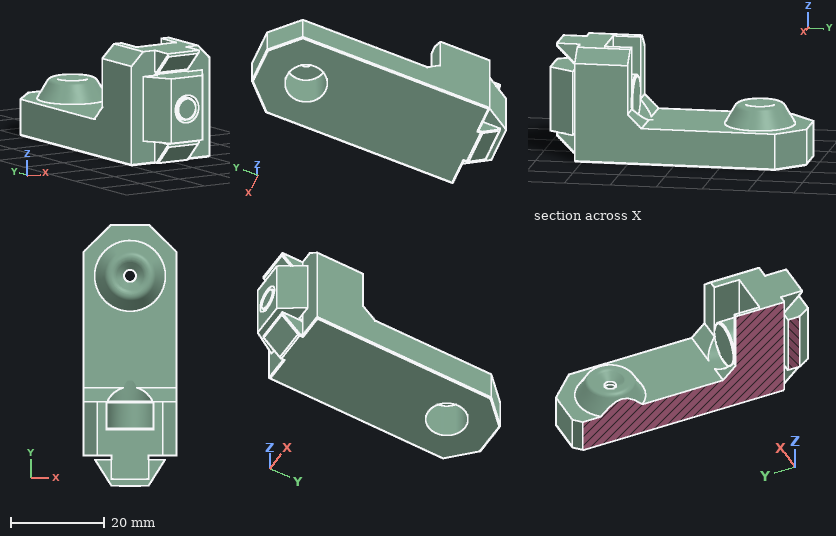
import cadquery as cq
import math


BRACKET_WIDTH = 20.0
BRACKET_HEIGHT = 24.5
BRACKET_LENGTH = 49.35
ARM_HEIGHT = 7.9
WALL_THICKNESS = 11.5
GUSSET = 3.0
ARM_CORNER_X = 5.85
ARM_CORNER_Y = 5.8
WALL_CORNER_X = 3.0
WALL_CORNER_Z = 2.9

KEY_WIDTH = 8.0
KEY_LENGTH = 5.0
KEY_HEIGHT = 4.85
KEY_ROOT = 0.85
KEY_TIP = KEY_HEIGHT - (KEY_LENGTH - KEY_ROOT)
EDGE_BREAK = 0.25

NOSE_Y = BRACKET_LENGTH - 10.9
NOSE_HEIGHT = 4.45
NOSE_TOP_RADIUS = 10.0 / 2
NOSE_HALF_ANGLE = math.radians(30)
NOSE_BASE_RADIUS = NOSE_TOP_RADIUS + NOSE_HEIGHT * math.tan(NOSE_HALF_ANGLE)
NOSE_ROUNDING = 1.5
FUNNEL_RADIUS = 6.8 / 2
FUNNEL_SLOPE = math.radians(40)
NOSE_BORE_RADIUS = 2.5 / 2
FUNNEL_DEPTH = (FUNNEL_RADIUS - NOSE_BORE_RADIUS) * math.tan(FUNNEL_SLOPE)
NOSE_BORE_LENGTH = 0.85
POCKET_RADIUS = 9.05 / 2
POCKET_DEPTH = ARM_HEIGHT + NOSE_HEIGHT - FUNNEL_DEPTH - NOSE_BORE_LENGTH

SCREW_Z = 12.35
SHANK_RADIUS = 4.7 / 2
SHANK_END_RADIUS = 4.4 / 2
SHANK_HOLE_RADIUS = 4.9 / 2
HEAD_RADIUS = 10.0 / 2
HEAD_CHAMFER = 0.3
HEAD_PROTRUSION = 0.1
HEAD_END_Y = WALL_THICKNESS + HEAD_PROTRUSION
SLOT_RADIUS = 10.15 / 2
SEAT_Y = 5.6
RELIEF_LENGTH = 6.7
RELIEF_TAPER = math.radians(8)

NUT_HEIGHT = 14.0
NUT_WIDTH = 15.0
NUT_NECK_LENGTH = KEY_ROOT
NUT_BOTTOM_Z = 5.25
NUT_LENGTH = 6.4
SCREW_TIP_Y = BRACKET_LENGTH - 55.85
NUT_COUNTERSINK_RADIUS = 6.0 / 2


def cylinder_along_y(radius, y_start, y_end):
    """A cylinder on the screw axis between two Y positions."""
    length = y_end - y_start
    return cq.Workplane("XY").add(
        cq.Solid.makeCylinder(radius, length, cq.Vector(0, y_start, SCREW_Z), cq.Vector(0, 1, 0))
    )


def make_key(z_bottom):
    """A locating key whose underside slopes up towards its tip."""
    return (
        cq.Workplane("YZ")
        .moveTo(0, z_bottom)
        .lineTo(-KEY_ROOT, z_bottom)
        .lineTo(-KEY_LENGTH, z_bottom + KEY_HEIGHT - KEY_TIP)
        .lineTo(-KEY_LENGTH, z_bottom + KEY_HEIGHT)
        .lineTo(0, z_bottom + KEY_HEIGHT)
        .close()
        .extrude(KEY_WIDTH / 2, both=True)
    )


def make_keyed_block():
    """The full-height block with both keys, edges broken on the undersides and key slopes."""
    upper_key_z = BRACKET_HEIGHT - KEY_HEIGHT
    half_width = BRACKET_WIDTH / 2
    corner_y = BRACKET_LENGTH - ARM_CORNER_Y
    end_half_width = half_width - ARM_CORNER_X
    block = (
        cq.Workplane("XY")
        .moveTo(-half_width, 0)
        .lineTo(half_width, 0)
        .lineTo(half_width, corner_y)
        .lineTo(end_half_width, BRACKET_LENGTH)
        .lineTo(-end_half_width, BRACKET_LENGTH)
        .lineTo(-half_width, corner_y)
        .close()
        .extrude(BRACKET_HEIGHT)
        .union(make_key(0))
        .union(make_key(upper_key_z))
    )
    slope = cq.Vector(0, KEY_LENGTH - KEY_ROOT, KEY_TIP - KEY_HEIGHT)
    slope_edges = block.edges(cq.selectors.ParallelDirSelector(slope))
    upper_key_root = cq.selectors.BoxSelector(
        (-KEY_WIDTH, -KEY_LENGTH, upper_key_z - EDGE_BREAK),
        (KEY_WIDTH, -EDGE_BREAK, upper_key_z + EDGE_BREAK),
    )
    broken_edges = block.faces("<Z").edges().add(slope_edges).add(block.edges(upper_key_root))
    return broken_edges.chamfer(EDGE_BREAK)


def make_arm_clearance():
    """The space above the arm, leaving a sloped gusset at the foot of the wall."""
    return (
        cq.Workplane("YZ")
        .moveTo(WALL_THICKNESS, BRACKET_HEIGHT)
        .lineTo(WALL_THICKNESS, ARM_HEIGHT + GUSSET)
        .lineTo(WALL_THICKNESS + GUSSET, ARM_HEIGHT)
        .lineTo(BRACKET_LENGTH, ARM_HEIGHT)
        .lineTo(BRACKET_LENGTH, BRACKET_HEIGHT)
        .close()
        .extrude(BRACKET_WIDTH, both=True)
    )


def make_wall_corner(side):
    """The wedge removed from one upper edge of the wall; side is -1 or 1."""
    edge_x = side * BRACKET_WIDTH / 2
    return (
        cq.Workplane("XZ")
        .moveTo(edge_x, BRACKET_HEIGHT)
        .lineTo(edge_x - side * WALL_CORNER_X, BRACKET_HEIGHT)
        .lineTo(edge_x, BRACKET_HEIGHT - WALL_CORNER_Z)
        .close()
        .extrude(-WALL_THICKNESS)
    )


def make_nose():
    """The hollow cone on the arm, rounded at its outer and inner rims."""
    top_z = ARM_HEIGHT + NOSE_HEIGHT
    nose = (
        cq.Workplane("XZ")
        .moveTo(NOSE_BORE_RADIUS, ARM_HEIGHT)
        .lineTo(NOSE_BASE_RADIUS, ARM_HEIGHT)
        .lineTo(NOSE_TOP_RADIUS, top_z)
        .lineTo(FUNNEL_RADIUS, top_z)
        .lineTo(NOSE_BORE_RADIUS, top_z - FUNNEL_DEPTH)
        .close()
        .revolve(360, (0, 0, 0), (0, 1, 0))
    )
    return nose.faces(">Z").edges().fillet(NOSE_ROUNDING).translate((0, NOSE_Y, 0))


def make_nose_pocket():
    """The wide round pocket from the underside of the arm up to the short bore of the nose."""
    return cq.Workplane("XY").center(0, NOSE_Y).circle(POCKET_RADIUS).extrude(POCKET_DEPTH)


def make_head_slot():
    """The round-bottomed slot for the screw head, open at the top of the wall."""
    length = WALL_THICKNESS - SEAT_Y
    opening = cq.Workplane("XY").box(
        2 * SLOT_RADIUS, length, BRACKET_HEIGHT - SCREW_Z, centered=(True, False, False)
    )
    bottom = cylinder_along_y(SLOT_RADIUS, SEAT_Y, WALL_THICKNESS)
    return bottom.union(opening.translate((0, SEAT_Y, SCREW_Z)))


def make_head_relief():
    """The tapered groove that continues the slot through the gusset into the arm."""
    end_radius = SLOT_RADIUS - RELIEF_LENGTH * math.tan(RELIEF_TAPER)
    return cq.Workplane("XY").add(
        cq.Solid.makeCone(
            SLOT_RADIUS,
            end_radius,
            RELIEF_LENGTH,
            cq.Vector(0, WALL_THICKNESS, SCREW_Z),
            cq.Vector(0, 1, 0),
        )
    )


def make_bracket():
    bracket = make_keyed_block().cut(make_arm_clearance())
    for side in (-1, 1):
        bracket = bracket.cut(make_wall_corner(side))
    bracket = bracket.union(make_nose()).cut(make_nose_pocket())
    bracket = bracket.cut(make_head_slot()).cut(make_head_relief())
    return bracket.cut(cylinder_along_y(SHANK_HOLE_RADIUS, 0, SEAT_Y))


def make_nut():
    """The clamp nut, with a countersunk hole for the screw."""
    neck_half_width = KEY_WIDTH / 2
    wedge_half_width = NUT_WIDTH / 2
    countersink_depth = NUT_COUNTERSINK_RADIUS - SHANK_HOLE_RADIUS
    body = (
        cq.Workplane("XY")
        .workplane(offset=NUT_BOTTOM_Z)
        .moveTo(neck_half_width, 0)
        .lineTo(neck_half_width, -NUT_NECK_LENGTH)
        .lineTo(wedge_half_width, -NUT_NECK_LENGTH)
        .lineTo(neck_half_width, -NUT_LENGTH)
        .lineTo(-neck_half_width, -NUT_LENGTH)
        .lineTo(-wedge_half_width, -NUT_NECK_LENGTH)
        .lineTo(-neck_half_width, -NUT_NECK_LENGTH)
        .lineTo(-neck_half_width, 0)
        .close()
        .extrude(NUT_HEIGHT)
    )
    drilled = body.cut(cylinder_along_y(SHANK_HOLE_RADIUS, -NUT_LENGTH, 0))
    rim = drilled.faces("<Y").edges("%CIRCLE")
    return rim.chamfer(countersink_depth)


def make_screw():
    """The cylinder-head screw, chamfered at its tip and at both ends of its head."""
    shank = cylinder_along_y(SHANK_RADIUS, SCREW_TIP_Y, SEAT_Y)
    shank = shank.faces("<Y").edges().chamfer(SHANK_RADIUS - SHANK_END_RADIUS)
    head = cylinder_along_y(HEAD_RADIUS, SEAT_Y, HEAD_END_Y)
    head = head.faces("<Y or >Y").edges().chamfer(HEAD_CHAMFER)
    return head.union(shank)


bracket = make_bracket()
nut = make_nut()
screw = make_screw()

result = cq.Compound.makeCompound([bracket.val(), nut.val(), screw.val()])